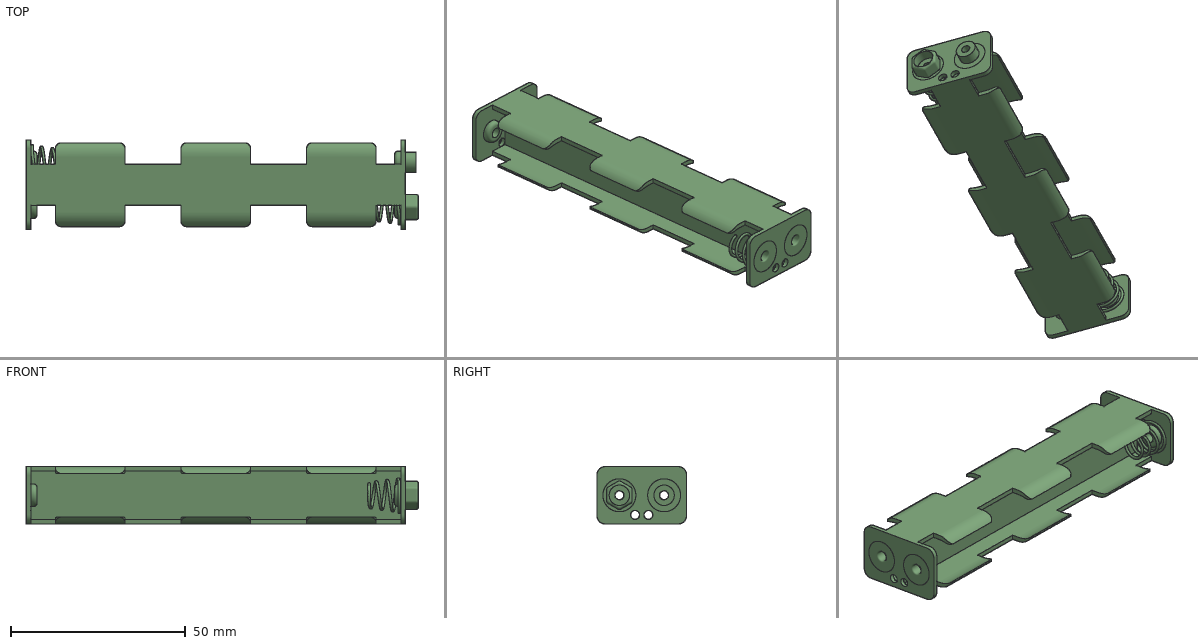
import cadquery as cq
import math

TOTAL_LENGTH = 112.4
HOUSING_LENGTH = 108.7
HOUSING_WIDTH = 25.7
HOUSING_HEIGHT = 16.5
CELL_OFFSET = 6.4

END_WALL = 1.3
FLANGE_THICKNESS = 1.3
WEB_THICKNESS = 1.2
FLANGE_WIDTH = 11.8
END_CORNER_RADIUS = 2.5

TAB_COUNT = 3
TAB_PITCH = 36.0
TAB_LENGTH = 20.0
TAB_FLAT_HALF_WIDTH = 8.0
TAB_HALF_WIDTH = 12.0
TAB_DROP = 2.0
TAB_TIP_THICKNESS = 0.6
TAB_CORNER_RADIUS = 1.7

WIRE_HOLE_RADIUS = 1.2
WIRE_HOLE_OFFSET = 1.9
WIRE_HOLE_HEIGHT = -5.6

CONTACT_LENGTH = 3.1
CONTACT_RADIUS = 3.3
CONTACT_NOSE_RADIUS = 1.0
CONTACT_RIM_RADIUS = 4.7
CONTACT_RIM_THICKNESS = 0.7
CONTACT_BORE_RADIUS = 1.5
BORE_MOUTH_ROUND = 0.5

WIRE_RADIUS = 0.39
SPRING_PITCH = 3.1
SPRING_CLEARANCE = 0.02
SPRING_BASE_RADIUS = 4.7
SPRING_TAPER = 0.42
FLAT_BASE_TURNS = 0.65
RISING_TURNS = 2.75
FLAT_TIP_TURNS = 0.45
RISE_START = 0.15
POINTS_PER_TURN = 16

STUD_RADIUS = 2.9
STUD_LENGTH = 3.0
SOCKET_SIDES = 6
SOCKET_FLAT_WIDTH = 7.3
SOCKET_FLOOR = 0.7
SOCKET_EDGE_ROUND = 0.7
SOCKET_CORNER_RADIUS = 0.9
SNAP_BORE_RADIUS = 1.2

HALF_HEIGHT = HOUSING_HEIGHT / 2
MID_LENGTH = HOUSING_LENGTH / 2
SOCKET_LENGTH = TOTAL_LENGTH - HOUSING_LENGTH


def cylinder_along_x(radius, x_start, length, y=0.0, z=0.0):
    return cq.Workplane("YZ", origin=(x_start, y, z)).circle(radius).extrude(length)


def turn_to_right_end(body):
    """Swing a body from the left end to the opposite cell's place at the right end."""
    return body.rotate((MID_LENGTH, 0, 0), (MID_LENGTH, 0, 1), 180)


def make_end_wall(x_start):
    wall = cq.Workplane("YZ", origin=(x_start, 0, 0)).rect(HOUSING_WIDTH, HOUSING_HEIGHT).extrude(END_WALL)
    return wall.edges("|X").fillet(END_CORNER_RADIUS)


def curl_radius(run, drop):
    """Radius of an arc that starts level and falls by the drop over the run."""
    return (run**2 + drop**2) / (2 * drop)


def make_tab(x_start):
    """Upper tab: a flat strip whose two sides curl down and thin out towards their tips."""
    tip_z = HALF_HEIGHT - TAB_DROP
    inner_z = HALF_HEIGHT - FLANGE_THICKNESS
    inner_tip_y = TAB_HALF_WIDTH - TAB_TIP_THICKNESS
    outer_radius = curl_radius(TAB_HALF_WIDTH - TAB_FLAT_HALF_WIDTH, TAB_DROP)
    inner_radius = curl_radius(inner_tip_y - TAB_FLAT_HALF_WIDTH, inner_z - tip_z)
    half = (
        cq.Workplane("YZ", origin=(x_start, 0, 0))
        .moveTo(0, HALF_HEIGHT)
        .lineTo(TAB_FLAT_HALF_WIDTH, HALF_HEIGHT)
        .radiusArc((TAB_HALF_WIDTH, tip_z), outer_radius)
        .lineTo(inner_tip_y, tip_z)
        .radiusArc((TAB_FLAT_HALF_WIDTH, inner_z), -inner_radius)
        .lineTo(0, inner_z)
        .close()
        .extrude(TAB_LENGTH)
    )
    tab = half.union(half.mirror("XZ"))
    plan = (
        cq.Workplane("XY", origin=(x_start + TAB_LENGTH / 2, 0, 0))
        .rect(TAB_LENGTH, 2 * TAB_HALF_WIDTH)
        .extrude(HOUSING_HEIGHT)
        .edges("|Z")
        .fillet(TAB_CORNER_RADIUS)
    )
    return tab.intersect(plan)


def make_housing():
    flange_z = HALF_HEIGHT - FLANGE_THICKNESS / 2
    housing = cq.Workplane("XY").box(HOUSING_LENGTH, WEB_THICKNESS, HOUSING_HEIGHT)
    for side in (1, -1):
        flange = cq.Workplane("XY").box(HOUSING_LENGTH, FLANGE_WIDTH, FLANGE_THICKNESS)
        housing = housing.union(flange.translate((0, 0, side * flange_z)))
    housing = housing.translate((MID_LENGTH, 0, 0))
    housing = housing.union(make_end_wall(0))
    housing = housing.union(make_end_wall(HOUSING_LENGTH - END_WALL))
    for index in range(TAB_COUNT):
        centre_x = MID_LENGTH + (index - (TAB_COUNT - 1) / 2) * TAB_PITCH
        tab = make_tab(centre_x - TAB_LENGTH / 2)
        housing = housing.union(tab).union(tab.mirror("XY"))
    for side in (1, -1):
        y = side * CELL_OFFSET
        rim_right = HOUSING_LENGTH - CONTACT_RIM_THICKNESS
        housing = housing.cut(cylinder_along_x(CONTACT_RIM_RADIUS, 0, CONTACT_RIM_THICKNESS, y))
        housing = housing.cut(cylinder_along_x(CONTACT_RIM_RADIUS, rim_right, CONTACT_RIM_THICKNESS, y))
        housing = housing.cut(cylinder_along_x(CONTACT_RADIUS, 0, HOUSING_LENGTH, y))
        wire_y = side * WIRE_HOLE_OFFSET
        housing = housing.cut(cylinder_along_x(WIRE_HOLE_RADIUS, 0, HOUSING_LENGTH, wire_y, WIRE_HOLE_HEIGHT))
    return housing


def make_contact(y):
    """Hollow eyelet at the left end, its rim flush with the outer face."""
    barrel_end = CONTACT_LENGTH - CONTACT_NOSE_RADIUS
    nose_face = CONTACT_RADIUS - CONTACT_NOSE_RADIUS
    profile = (
        cq.Workplane("XZ", origin=(0, y, 0))
        .moveTo(0, CONTACT_BORE_RADIUS + BORE_MOUTH_ROUND)
        .lineTo(0, CONTACT_RIM_RADIUS)
        .lineTo(CONTACT_RIM_THICKNESS, CONTACT_RIM_RADIUS)
        .lineTo(CONTACT_RIM_THICKNESS, CONTACT_RADIUS)
        .lineTo(barrel_end, CONTACT_RADIUS)
        .radiusArc((CONTACT_LENGTH, nose_face), CONTACT_NOSE_RADIUS)
        .lineTo(CONTACT_LENGTH, CONTACT_BORE_RADIUS)
        .lineTo(BORE_MOUTH_ROUND, CONTACT_BORE_RADIUS)
        .radiusArc((0, CONTACT_BORE_RADIUS + BORE_MOUTH_ROUND), BORE_MOUTH_ROUND)
        .close()
    )
    return profile.revolve(360, (0, 0, 0), (1, 0, 0))


def spring_point(turn):
    """Wire centre after the given number of turns, for the spring at the left end."""
    angle = 2 * math.pi * turn
    radius = SPRING_BASE_RADIUS - SPRING_TAPER * turn
    rising = min(max(turn - RISE_START, 0), RISING_TURNS)
    x = END_WALL + SPRING_CLEARANCE + WIRE_RADIUS + SPRING_PITCH * rising
    return cq.Vector(x, CELL_OFFSET + radius * math.cos(angle), radius * math.sin(angle))


def make_spring():
    total_turns = FLAT_BASE_TURNS + RISING_TURNS + FLAT_TIP_TURNS
    steps = round(total_turns * POINTS_PER_TURN)
    points = [spring_point(total_turns * step / steps - FLAT_BASE_TURNS) for step in range(steps + 1)]
    curve = cq.Edge.makeSpline(points)
    start = cq.Plane(origin=points[0], normal=curve.tangentAt(0))
    path = cq.Workplane("XY").add(cq.Wire.assembleEdges([curve]))
    return cq.Workplane(start).circle(WIRE_RADIUS).sweep(path)


def make_stud():
    stud = cylinder_along_x(STUD_RADIUS, HOUSING_LENGTH, STUD_LENGTH, CELL_OFFSET)
    return stud.cut(cylinder_along_x(SNAP_BORE_RADIUS, HOUSING_LENGTH, STUD_LENGTH, CELL_OFFSET))


def make_socket():
    """Hexagonal cup with rounded corners that takes a stud of the same size as the other terminal."""
    corner_diameter = SOCKET_FLAT_WIDTH / math.cos(math.pi / SOCKET_SIDES)
    socket = (
        cq.Workplane("YZ", origin=(HOUSING_LENGTH, -CELL_OFFSET, 0))
        .transformed(rotate=(0, 0, 90))
        .polygon(SOCKET_SIDES, corner_diameter)
        .extrude(SOCKET_LENGTH)
        .edges("|X")
        .fillet(SOCKET_CORNER_RADIUS)
        .faces(">X")
        .edges()
        .fillet(SOCKET_EDGE_ROUND)
    )
    cavity_start = HOUSING_LENGTH + SOCKET_FLOOR
    socket = socket.cut(cylinder_along_x(STUD_RADIUS, cavity_start, SOCKET_LENGTH, -CELL_OFFSET))
    return socket.cut(cylinder_along_x(SNAP_BORE_RADIUS, HOUSING_LENGTH, SOCKET_LENGTH, -CELL_OFFSET))


housing = make_housing()

contacts = []
for cell_y in (CELL_OFFSET, -CELL_OFFSET):
    left_contact = make_contact(cell_y)
    contacts.append(left_contact.val())
    contacts.append(turn_to_right_end(left_contact).val())

left_spring = make_spring()
springs = [left_spring.val(), turn_to_right_end(left_spring).val()]

stud = make_stud()
socket = make_socket()

result = cq.Compound.makeCompound([housing.val(), *contacts, *springs, stud.val(), socket.val()])